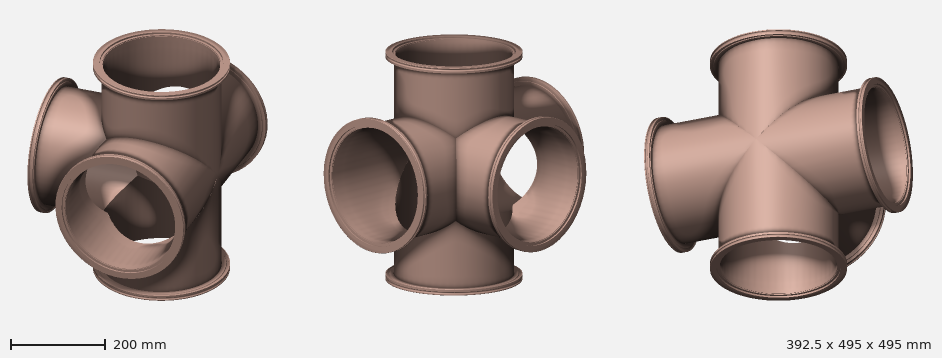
import cadquery as cq

port_reach = 247.5
port_directions = [
    cq.Vector(0, 0, 1),
    cq.Vector(0, 0, -1),
    cq.Vector(0, 1, 0),
    cq.Vector(0, -1, 0),
    cq.Vector(-1, 0, 0),
]

tube_outer_diameter = 254.0
tube_bore_diameter = 248.0

flange_diameter = 290.0
flange_thickness = 12.0
flange_bore_diameter = 250.0
face_chamfer = 0.45
recess_diameter = 261.0
recess_depth = 3.85
socket_diameter = 255.0
socket_shoulder_depth = flange_thickness / 2

rim_groove_floor_diameter = 285.0
rim_groove_radius = (flange_diameter - rim_groove_floor_diameter) / 2
rim_groove_depth = 5.0

clamp_groove_outer_diameter = 285.0
clamp_groove_floor_inner_diameter = 275.0
clamp_groove_mouth_inner_diameter = 273.5
clamp_groove_height = 1.5


def port_plane(direction):
    """Plane on a port's flange face whose normal runs inwards along the port axis."""
    return cq.Plane(origin=(direction * port_reach).toTuple(), normal=(-direction).toTuple())


def beyond_mitre(direction, neighbour):
    """Triangular prism on the neighbour's side of the 45 degree plane between two ports."""
    mitre_plane = cq.Plane(
        origin=(0, 0, 0),
        xDir=neighbour.toTuple(),
        normal=neighbour.cross(direction).toTuple(),
    )
    return (
        cq.Workplane(mitre_plane)
        .polyline([(0, 0), (port_reach, 0), (port_reach, port_reach)])
        .close()
        .extrude(port_reach, both=True)
    )


def make_tube(direction):
    """Tube from a socket shoulder to the centre, mitred against each tube square to it."""
    tube = (
        cq.Workplane(port_plane(direction))
        .workplane(offset=socket_shoulder_depth)
        .circle(tube_outer_diameter / 2)
        .circle(tube_bore_diameter / 2)
        .extrude(port_reach - socket_shoulder_depth)
    )
    for neighbour in port_directions:
        if direction.dot(neighbour) == 0:
            tube = tube.cut(beyond_mitre(direction, neighbour))
    return tube.val()


def flange_section():
    """Flange cross-section as a sketch of radius against depth below the face."""
    rim_radius = flange_diameter / 2
    clamp_groove_floor = flange_thickness - clamp_groove_height
    return (
        cq.Workplane("XY")
        .moveTo(flange_bore_diameter / 2, recess_depth)
        .lineTo(recess_diameter / 2, recess_depth)
        .lineTo(recess_diameter / 2, 0)
        .lineTo(rim_radius - face_chamfer, 0)
        .lineTo(rim_radius, face_chamfer)
        .lineTo(rim_radius, rim_groove_depth - rim_groove_radius)
        .threePointArc(
            (rim_groove_floor_diameter / 2, rim_groove_depth),
            (rim_radius, rim_groove_depth + rim_groove_radius),
        )
        .lineTo(rim_radius, flange_thickness)
        .lineTo(clamp_groove_outer_diameter / 2, flange_thickness)
        .lineTo(clamp_groove_outer_diameter / 2, clamp_groove_floor)
        .lineTo(clamp_groove_floor_inner_diameter / 2, clamp_groove_floor)
        .lineTo(clamp_groove_mouth_inner_diameter / 2, flange_thickness)
        .lineTo(socket_diameter / 2, flange_thickness)
        .lineTo(socket_diameter / 2, socket_shoulder_depth)
        .lineTo(flange_bore_diameter / 2, socket_shoulder_depth)
        .close()
    )


def make_flange(direction):
    """Flange ring turned about the port axis."""
    ring = flange_section().revolve(360, (0, 0, 0), (0, 1, 0))
    depth_along_z = ring.rotate((0, 0, 0), (1, 0, 0), 90).val()
    return depth_along_z.moved(cq.Location(port_plane(direction)))


tubes = [make_tube(direction) for direction in port_directions]
flanges = [make_flange(direction) for direction in port_directions]

result = cq.Compound.makeCompound([*tubes, *flanges])